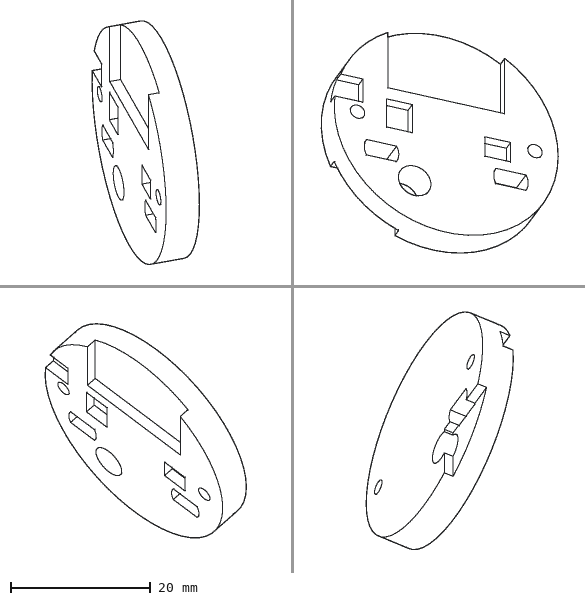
import cadquery as cq

disc_radius = 17.3
thickness = 5.0
front_pocket_depth = 1.63
back_pocket_depth = 1.42
back_pocket_floor = thickness - back_pocket_depth

window_half_width = 9.03
window_bottom = 5.25

notch_right = -12.85
notch_bottom = 1.85
notch_top = 5.8

pocket_width = 3.98
left_pocket = (-7.23, 0.9, pocket_width, 4.8)
right_pocket = (7.95, -1.1, pocket_width, 3.32)

screw_hole_offset = 13.7
screw_hole_diameter = 2.2
large_hole_x = -4.88
large_hole_z = -9.65
large_hole_diameter = 5.0

slot_offset = 10.0
slot_z = -5.75
slot_length = 5.33
slot_height = 2.63

back_pocket_right = -5.9
back_pocket_top = -6.88


def box(x_min, x_max, z_min, z_max, y_min, y_max):
    """Axis-aligned block between the given limits."""
    size = (x_max - x_min, y_max - y_min, z_max - z_min)
    return cq.Workplane("XY").box(*size, centered=False).translate((x_min, y_min, z_min))


def cylinder(x, z, diameter, depth):
    """Cylinder along Y, starting at the front face."""
    return cq.Workplane("XZ").center(x, z).circle(diameter / 2).extrude(-depth)


def closed_pocket(x, z, width, height):
    """Rectangular recess in the front face."""
    return box(x - width / 2, x + width / 2, z - height / 2, z + height / 2, 0, front_pocket_depth)


def slot(x, depth):
    """Circle trimmed to a horizontal band, leaving flat sides and arc ends."""
    half_length = slot_length / 2
    half_height = slot_height / 2
    band = box(x - half_length, x + half_length, slot_z - half_height, slot_z + half_height, 0, depth)
    return cylinder(x, slot_z, slot_length, depth).intersect(band)


disc = cylinder(0, 0, 2 * disc_radius, thickness)

window = box(-window_half_width, window_half_width, window_bottom, disc_radius, 0, front_pocket_depth)
notch = box(-disc_radius, notch_right, notch_bottom, notch_top, 0, front_pocket_depth)
result = disc.cut(window).cut(notch)
for pocket in (left_pocket, right_pocket):
    result = result.cut(closed_pocket(*pocket))

for side in (-1, 1):
    result = result.cut(cylinder(side * screw_hole_offset, 0, screw_hole_diameter, thickness))
result = result.cut(cylinder(large_hole_x, large_hole_z, large_hole_diameter, thickness))

result = result.cut(slot(-slot_offset, thickness))
result = result.cut(slot(slot_offset, back_pocket_floor))

back_pocket = box(
    -disc_radius, back_pocket_right, -disc_radius, back_pocket_top, back_pocket_floor, thickness
)
result = result.cut(back_pocket)